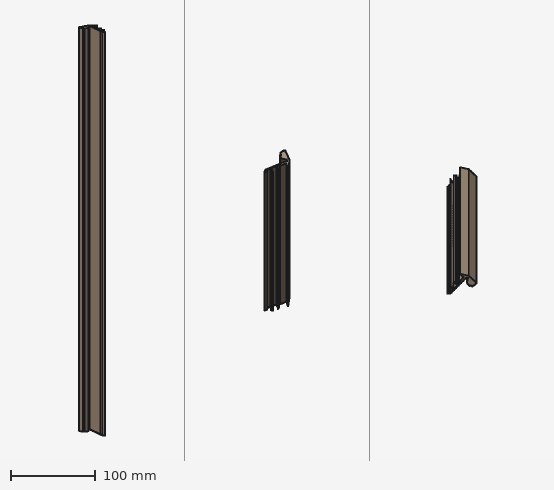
import cadquery as cq

LENGTH = 500.0
WIDTH = 33.29
DEPTH = 21.95

WALL_THICKNESS = 3.0
WALL_HEIGHT = 13.1
FIN_TIP_X = 5.39
FIN_BACK_X = 5.6
FIN_KINK_Y = 18.2
FIN_TIP_BACK_X = 6.0

FLANGE_UNDERSIDE_Y = 13.25
WEB_THICKNESS = 1.2
ROOT_THICKNESS = 2.7
ROOT_END_X = 13.0
LIP_START_X = 29.8
LIP_CHAMFER = 2.2

BEAD_HEEL = (6.8, 0.95)
BEAD_LEDGE_Y = 3.4
BEAD_OUTER_X = 8.3
BEAD_ROUND_START_Y = 6.4
BEAD_TOP = (5.2, 10.0)
BEAD_ROUND_MID = (7.35, 8.9)
BEAD_WALL_Y = 11.2

CLIP_CENTRE_X = 20.95
CLIP_GAP = 6.6
CLIP_TIP_LEAN = 0.45
CLIP_STEM = 1.0
CLIP_BARB = 1.2
CLIP_BARB_Y = 18.2
CLIP_TIP_Y = 20.3
CLIP_TIP_WIDTH = 0.5


def extruded(outline):
    """Close an outline and extrude it over the full length."""
    return outline.close().extrude(LENGTH)


def wall_and_flange():
    """Wall with its back-slanted fin, joined to the flange that carries the lip."""
    web_top = FLANGE_UNDERSIDE_Y + WEB_THICKNESS
    root_top = FLANGE_UNDERSIDE_Y + ROOT_THICKNESS
    return extruded(
        cq.Workplane("XY")
        .moveTo(0, 0)
        .lineTo(WALL_THICKNESS, 0)
        .lineTo(WALL_THICKNESS, FLANGE_UNDERSIDE_Y)
        .lineTo(WIDTH - LIP_CHAMFER, FLANGE_UNDERSIDE_Y)
        .lineTo(WIDTH, FLANGE_UNDERSIDE_Y + LIP_CHAMFER)
        .lineTo(WIDTH, root_top)
        .lineTo(LIP_START_X, root_top)
        .lineTo(LIP_START_X, web_top)
        .lineTo(ROOT_END_X, web_top)
        .lineTo(ROOT_END_X, root_top)
        .lineTo(FIN_BACK_X, root_top)
        .lineTo(FIN_BACK_X, FIN_KINK_Y)
        .lineTo(FIN_TIP_BACK_X, DEPTH)
        .lineTo(FIN_TIP_X, DEPTH)
        .lineTo(0, WALL_HEIGHT)
    )


def bead():
    """Rounded bead beside the wall, with a stepped ledge at its foot."""
    return extruded(
        cq.Workplane("XY")
        .moveTo(0, 0)
        .lineTo(WALL_THICKNESS, 0)
        .lineTo(*BEAD_HEEL)
        .lineTo(BEAD_HEEL[0], BEAD_LEDGE_Y)
        .lineTo(BEAD_OUTER_X, BEAD_LEDGE_Y)
        .lineTo(BEAD_OUTER_X, BEAD_ROUND_START_Y)
        .threePointArc(BEAD_ROUND_MID, BEAD_TOP)
        .lineTo(WALL_THICKNESS, BEAD_WALL_Y)
        .lineTo(0, BEAD_WALL_Y)
    )


def snap_clip(side):
    """Clip on one side of the pair's centre (-1 left, +1 right), its barb facing outward."""
    inner_x = CLIP_CENTRE_X + side * CLIP_GAP / 2
    tip_x = inner_x - side * CLIP_TIP_LEAN
    outer_x = inner_x + side * CLIP_STEM
    return extruded(
        cq.Workplane("XY")
        .moveTo(inner_x, FLANGE_UNDERSIDE_Y)
        .lineTo(inner_x, CLIP_BARB_Y)
        .lineTo(tip_x, CLIP_TIP_Y)
        .lineTo(tip_x + side * CLIP_TIP_WIDTH, CLIP_TIP_Y)
        .lineTo(outer_x + side * CLIP_BARB, CLIP_BARB_Y)
        .lineTo(outer_x, CLIP_BARB_Y)
        .lineTo(outer_x, FLANGE_UNDERSIDE_Y)
    )


result = wall_and_flange().union(bead())
for side in (-1, 1):
    result = result.union(snap_clip(side))
result = result.clean()